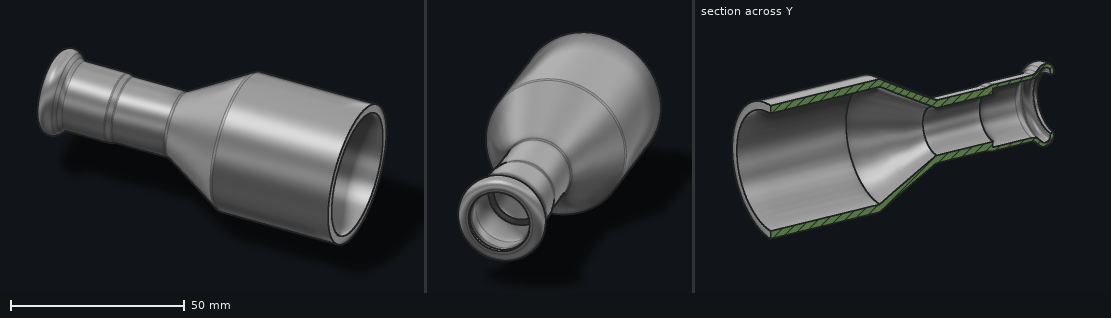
import cadquery as cq
import math

total_length = 96.0
bead_blend_end = 7.6
socket_depth = 20.6
shoulder_start = 20.9
shoulder_end = 22.9
cone_start = 39.8
cone_end = 59.0

socket_radius = 21.0 / 2
neck_radius = 20.0 / 2
body_radius = 42.0 / 2

socket_wall = 1.3
body_wall = 2.6
socket_bore_radius = socket_radius - socket_wall
neck_bore_radius = neck_radius - body_wall
body_bore_radius = body_radius - body_wall

bead_radius = 3.0
bead_center_radius = 10.1
bead_flank_angle = 45
blend_radius = 2.0

shoulder_blend = 1.5
cone_blend = 1.7


def add_bead(sketch, round_radius, concave_radius, tube_radius):
    """Trace the bead round, its flank and the blend that ends on tube_radius."""
    flank = math.radians(bead_flank_angle)
    half_sweep = flank / 2
    flank_sin = math.sin(flank)
    flank_cos = math.cos(flank)
    blend_center_radius = tube_radius + concave_radius

    return (
        sketch.threePointArc(
            (bead_radius, bead_center_radius + round_radius),
            (bead_radius + round_radius * flank_sin, bead_center_radius + round_radius * flank_cos),
        )
        .lineTo(
            bead_blend_end - concave_radius * flank_sin,
            blend_center_radius - concave_radius * flank_cos,
        )
        .threePointArc(
            (
                bead_blend_end - concave_radius * math.sin(half_sweep),
                blend_center_radius - concave_radius * math.cos(half_sweep),
            ),
            (bead_blend_end, tube_radius),
        )
    )


def revolve_about_x(sketch):
    return sketch.close().revolve(360, (0, 0, 0), (1, 0, 0))


def circle_edges(solid, x, radius):
    """Select the circular edge of the given radius at station x."""
    margin = 0.01
    return solid.edges(
        cq.selectors.BoxSelector(
            (x - margin, -radius - margin, -radius - margin),
            (x + margin, radius + margin, radius + margin),
            boundingbox=True,
        )
    )


def make_outside():
    """Solid envelope: bead, socket, shoulder, neck, cone and body."""
    sketch = cq.Workplane("XY").lineTo(0, bead_center_radius)
    sketch = add_bead(sketch, bead_radius, blend_radius, socket_radius)
    sketch = (
        sketch.lineTo(shoulder_start, socket_radius)
        .lineTo(shoulder_end, neck_radius)
        .lineTo(cone_start, neck_radius)
        .lineTo(cone_end, body_radius)
        .lineTo(total_length, body_radius)
        .lineTo(total_length, 0)
    )
    solid = revolve_about_x(sketch)
    for x, radius, blend in (
        (shoulder_start, socket_radius, shoulder_blend),
        (shoulder_end, neck_radius, shoulder_blend),
        (cone_start, neck_radius, cone_blend),
        (cone_end, body_radius, cone_blend),
    ):
        solid = circle_edges(solid, x, radius).fillet(blend)
    return solid


def make_inside():
    """Socket bore with the seal groove under the bead, stop face, neck and body bores."""
    groove_round = bead_radius - socket_wall
    groove_blend = blend_radius + socket_wall
    sketch = (
        cq.Workplane("XY")
        .lineTo(0, socket_bore_radius)
        .lineTo(socket_wall, socket_bore_radius)
        .lineTo(socket_wall, bead_center_radius)
    )
    sketch = add_bead(sketch, groove_round, groove_blend, socket_bore_radius)
    sketch = (
        sketch.lineTo(socket_depth, socket_bore_radius)
        .lineTo(socket_depth, neck_bore_radius)
        .lineTo(cone_start, neck_bore_radius)
        .lineTo(cone_end, body_bore_radius)
        .lineTo(total_length, body_bore_radius)
        .lineTo(total_length, 0)
    )
    return revolve_about_x(sketch)


result = make_outside().cut(make_inside())